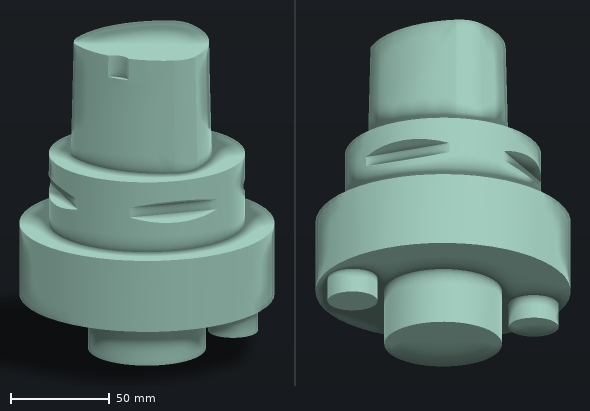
import cadquery as cq
import math

total_height = 164.0
shoulder_z = 104.1
flange_top_z = 66.9
flange_bottom_z = 29.0
drive_pin_bottom_z = 16.5

spigot_diameter = 60.0
flange_diameter = 130.0
collar_diameter = 100.0
drive_pin_diameter = 25.5
drive_pin_offset = 49.4

flank_center_offset = 19.0
lobe_center_offset = 23.37
lobe_radius_top = 14.0
taper_per_side = 1 / 40
lobe_count = 3
lobe_angles = [90 + i * 360 / lobe_count for i in range(lobe_count)]

notch_diameter = 16.0
notch_center_y = -36.9
notch_depth = 11.3

slot_count = 4
slot_first_angle = 45
slot_center_z = 87.7
slot_floor_distance = 44.3
slot_floor_width = 5.1
slot_mouth_width = 11.5


def polar(radius, degrees):
    """Point in the XY plane at a given radius and angle."""
    angle = math.radians(degrees)
    return cq.Vector(radius * math.cos(angle), radius * math.sin(angle))


def cylinder(diameter, bottom_z, top_z, x=0, y=0):
    """Vertical cylinder between two levels."""
    return cq.Workplane("XY", origin=(x, y, bottom_z)).circle(diameter / 2).extrude(top_z - bottom_z)


def add_lobed_outline(plane, lobe_radius):
    """Add a closed outline of three lobes joined by tangent flank arcs."""
    half_pitch = 180 / lobe_count
    center_distance = (polar(lobe_center_offset, half_pitch) + cq.Vector(flank_center_offset, 0)).Length
    flank_radius = center_distance + lobe_radius

    def seam(lobe_angle, flank_angle):
        lobe_center = polar(lobe_center_offset, lobe_angle)
        flank_center = polar(-flank_center_offset, flank_angle)
        return lobe_center + (lobe_center - flank_center).normalized() * lobe_radius

    start = seam(lobe_angles[0], lobe_angles[0] - half_pitch)
    outline = plane.moveTo(start.x, start.y)
    for lobe_angle in lobe_angles:
        flank_angle = lobe_angle + half_pitch
        next_lobe_angle = flank_angle + half_pitch
        lobe_tip = polar(lobe_center_offset + lobe_radius, lobe_angle)
        flank_middle = polar(flank_radius - flank_center_offset, flank_angle)
        lobe_end = seam(lobe_angle, flank_angle)
        flank_end = seam(next_lobe_angle, flank_angle)
        outline = outline.threePointArc(lobe_tip.toTuple()[:2], lobe_end.toTuple()[:2])
        outline = outline.threePointArc(flank_middle.toTuple()[:2], flank_end.toTuple()[:2])
    return outline.close()


def make_shank():
    """Tapered shank with the index notch at its upper end."""
    height = total_height - shoulder_z
    base_plane = cq.Workplane("XY", origin=(0, 0, shoulder_z))
    base = add_lobed_outline(base_plane, lobe_radius_top + height * taper_per_side)
    shank = add_lobed_outline(base.workplane(offset=height), lobe_radius_top).loft(ruled=True)
    notch = cylinder(notch_diameter, total_height - notch_depth, total_height, y=notch_center_y)
    return shank.cut(notch)


def make_slot(angle):
    """Cutter with a flat floor, widening linearly to its mouth at the collar radius."""
    mouth_distance = collar_diameter / 2
    half_floor = slot_floor_width / 2
    half_mouth = slot_mouth_width / 2
    profile = [
        (slot_floor_distance, slot_center_z - half_floor),
        (mouth_distance, slot_center_z - half_mouth),
        (mouth_distance, slot_center_z + half_mouth),
        (slot_floor_distance, slot_center_z + half_floor),
    ]
    slot = cq.Workplane("XZ").polyline(profile).close().extrude(collar_diameter / 2, both=True)
    return slot.rotate((0, 0, 0), (0, 0, 1), angle)


def make_collar():
    """Collar between flange and shank with its gripper slots."""
    collar = cylinder(collar_diameter, flange_top_z, shoulder_z)
    for i in range(slot_count):
        collar = collar.cut(make_slot(slot_first_angle + i * 360 / slot_count))
    return collar


flange = cylinder(flange_diameter, flange_bottom_z, flange_top_z)
spigot = cylinder(spigot_diameter, 0, flange_bottom_z)
result = flange.union(spigot).union(make_collar()).union(make_shank())
for side in (-1, 1):
    drive_pin = cylinder(drive_pin_diameter, drive_pin_bottom_z, flange_bottom_z, x=side * drive_pin_offset)
    result = result.union(drive_pin)